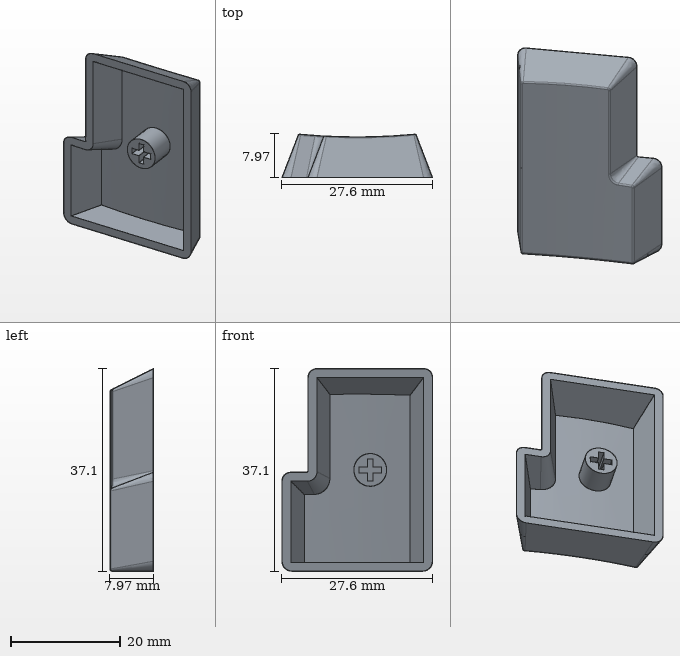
import cadquery as cq
import math


WIDTH = 27.6
LENGTH = 37.14
STEP_WIDTH = 4.77
STEP_HEIGHT = 18.15
RIM_CORNER_RADIUS = 1.65
RIM_BOTTOM_CORNER_RADIUS = 1.85
RIM_NOTCH_RADIUS = 0.27

HEIGHT = 7.99
SIDE_DRAFT = 3.06
END_DRAFT = 4.0
TOP_CORNER_RADIUS = 0.4
TOP_NOTCH_RADIUS = 1.7
TOP_EDGE_RADIUS = 0.35

DISH_DEPTH = 0.52

WALL = 1.65
CAVITY_RIM_NOTCH_RADIUS = 1.75
CAVITY_TOP_NOTCH_RADIUS = 3.2
CEILING = 1.42

STEM_DIAMETER = 6.0
STEM_RECESS = 1.0
CROSS_SPAN = 4.05
CROSS_ARM_ALONG_X = 1.13
CROSS_ARM_ALONG_Z = 1.0

RIGHT = (WIDTH - STEP_WIDTH) / 2
LEFT = RIGHT - WIDTH
BOTTOM = -LENGTH / 2
DISH_CENTER_X = (LEFT + RIGHT) / 2
DISH_HALF_SPAN = WIDTH / 2 - SIDE_DRAFT
DISH_RADIUS = (DISH_HALF_SPAN**2 + DISH_DEPTH**2) / (2 * DISH_DEPTH)


def outline(y, inset, side_lean, end_lean, bottom_corner_radius, corner_radius, notch_radius):
    """L-shaped wire at height y, moved inward by the inset and the lean of the walls."""
    left = LEFT + inset + side_lean
    right = RIGHT - inset - side_lean
    bottom = BOTTOM + inset
    top = BOTTOM + LENGTH - inset - end_lean
    notch_x = LEFT + STEP_WIDTH + inset + side_lean
    notch_z = BOTTOM + STEP_HEIGHT - inset - side_lean
    corners = [
        (left, bottom, bottom_corner_radius),
        (right, bottom, bottom_corner_radius),
        (right, top, corner_radius),
        (notch_x, top, corner_radius),
        (notch_x, notch_z, notch_radius),
        (left, notch_z, corner_radius),
    ]
    rounds = []
    for index, (x, z, radius) in enumerate(corners):
        corner = cq.Vector(x, y, z)
        before_x, before_z, _ = corners[index - 1]
        after_x, after_z, _ = corners[(index + 1) % len(corners)]
        toward_before = (cq.Vector(before_x, y, before_z) - corner).normalized()
        toward_after = (cq.Vector(after_x, y, after_z) - corner).normalized()
        start = corner + toward_before * radius
        middle = corner + (toward_before + toward_after) * (radius * (1 - math.sqrt(0.5)))
        end = corner + toward_after * radius
        rounds.append((start, middle, end, radius))
    edges = []
    for index, (start, middle, end, radius) in enumerate(rounds):
        if radius > 0:
            edges.append(cq.Edge.makeThreePointArc(start, middle, end))
        next_start = rounds[(index + 1) % len(rounds)][0]
        edges.append(cq.Edge.makeLine(end, next_start))
    return cq.Wire.assembleEdges(edges)


def tapered_body(inset, rim_radii, top_radii):
    """Solid between the rim and top outlines; radii are given as bottom corner, other corners, notch."""
    rim = outline(0, inset, 0, 0, *rim_radii)
    top = outline(HEIGHT, inset, SIDE_DRAFT, END_DRAFT, *top_radii)
    return cq.Workplane(cq.Solid.makeLoft([rim, top], True))


def dish_cylinder(drop):
    """Cylinder of the dish, its surface lowered by drop toward the rim."""
    lowest = HEIGHT - DISH_DEPTH
    return cq.Workplane(
        cq.Solid.makeCylinder(
            DISH_RADIUS + drop,
            2 * LENGTH,
            cq.Vector(DISH_CENTER_X, lowest + DISH_RADIUS, -LENGTH),
            cq.Vector(0, 0, 1),
        )
    )


def outer_shell():
    rim_radii = (RIM_BOTTOM_CORNER_RADIUS, RIM_CORNER_RADIUS, RIM_NOTCH_RADIUS)
    top_radii = (TOP_CORNER_RADIUS, TOP_CORNER_RADIUS, TOP_NOTCH_RADIUS)
    body = tapered_body(0, rim_radii, top_radii)
    body = body.cut(dish_cylinder(0))
    return body.faces(">Y").edges().fillet(TOP_EDGE_RADIUS)


def cavity():
    rim_radii = (0, 0, CAVITY_RIM_NOTCH_RADIUS)
    top_radii = (0, 0, CAVITY_TOP_NOTCH_RADIUS)
    body = tapered_body(WALL, rim_radii, top_radii)
    return body.cut(dish_cylinder(CEILING))


def stem():
    top = HEIGHT - DISH_DEPTH - CEILING / 2
    post = cq.Workplane("XZ", origin=(0, STEM_RECESS, 0)).circle(STEM_DIAMETER / 2)
    return post.extrude(-(top - STEM_RECESS))


def stem_cross():
    depth = HEIGHT - DISH_DEPTH - CEILING - STEM_RECESS
    plane = cq.Workplane("XZ", origin=(0, STEM_RECESS, 0))
    arm_along_x = plane.rect(CROSS_SPAN, CROSS_ARM_ALONG_X).extrude(-depth)
    arm_along_z = plane.rect(CROSS_ARM_ALONG_Z, CROSS_SPAN).extrude(-depth)
    return arm_along_x.union(arm_along_z)


result = outer_shell().cut(cavity()).union(stem()).cut(stem_cross())